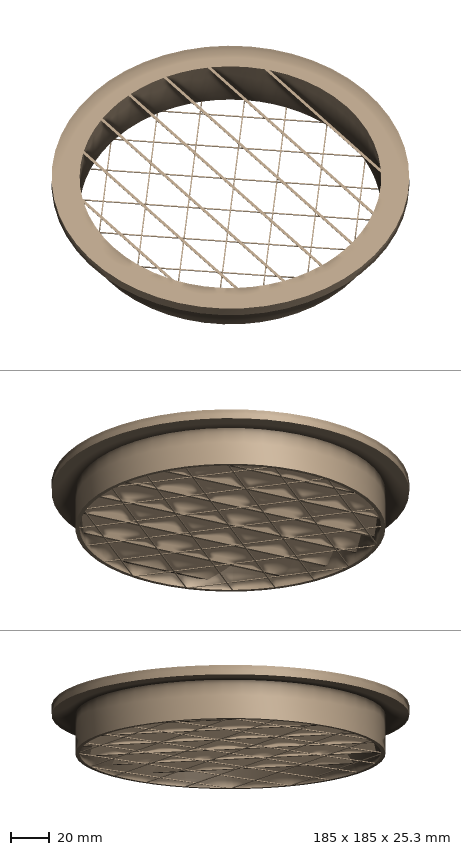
import cadquery as cq
import math

flange_diameter = 185
flange_thickness = 5.0
total_height = 25.3
sleeve_diameter = 160.4
bore_diameter = 156.0

blade_count = 7
blade_pitch = 22.0
blade_edge_width = 1.57
blade_run = 13.1
blade_front = -4.0
blade_height = 19.8
blade_top = total_height

wire_width = 0.65
wire_height = 0.4
wire_pitch = blade_pitch
wire_angles = (45, -45)

wall_overlap = 0.5
insert_diameter = bore_diameter + 2 * wall_overlap


def disc(diameter, height, bottom=0):
    return cq.Workplane("XY").workplane(offset=bottom).circle(diameter / 2).extrude(height)


def make_ring():
    sleeve = disc(sleeve_diameter, total_height)
    flange = disc(flange_diameter, flange_thickness, total_height - flange_thickness)
    bore = disc(bore_diameter, total_height)
    return sleeve.union(flange).cut(bore)


def make_blade(front):
    """Slanted bar with its top edge at the front (-Y) and its bottom edge at the back (+Y)."""
    back = front + blade_run
    blade_bottom = blade_top - blade_height
    section = [
        (front, blade_top),
        (front + blade_edge_width, blade_top),
        (back, blade_bottom),
        (back - blade_edge_width, blade_bottom),
    ]
    return cq.Workplane("YZ").polyline(section).close().extrude(insert_diameter / 2, both=True)


def make_blades():
    middle_index = (blade_count - 1) / 2
    blades = cq.Workplane("XY")
    for index in range(blade_count):
        blades = blades.add(make_blade(blade_front + (index - middle_index) * blade_pitch))
    return blades.combine()


def make_wire_row(angle):
    """Parallel wires, one through the centre, turned about Z by the given angle."""
    wires_per_side = math.floor(bore_diameter / 2 / wire_pitch)
    centres = [(0, step * wire_pitch) for step in range(-wires_per_side, wires_per_side + 1)]
    row = cq.Workplane("XY").pushPoints(centres).rect(insert_diameter, wire_width).extrude(wire_height)
    return row.rotate((0, 0, 0), (0, 0, 1), angle)


ring = make_ring()
insert_limit = disc(insert_diameter, total_height)

result = ring.union(make_blades().intersect(insert_limit))
for wire_angle in wire_angles:
    result = result.union(make_wire_row(wire_angle).intersect(insert_limit))